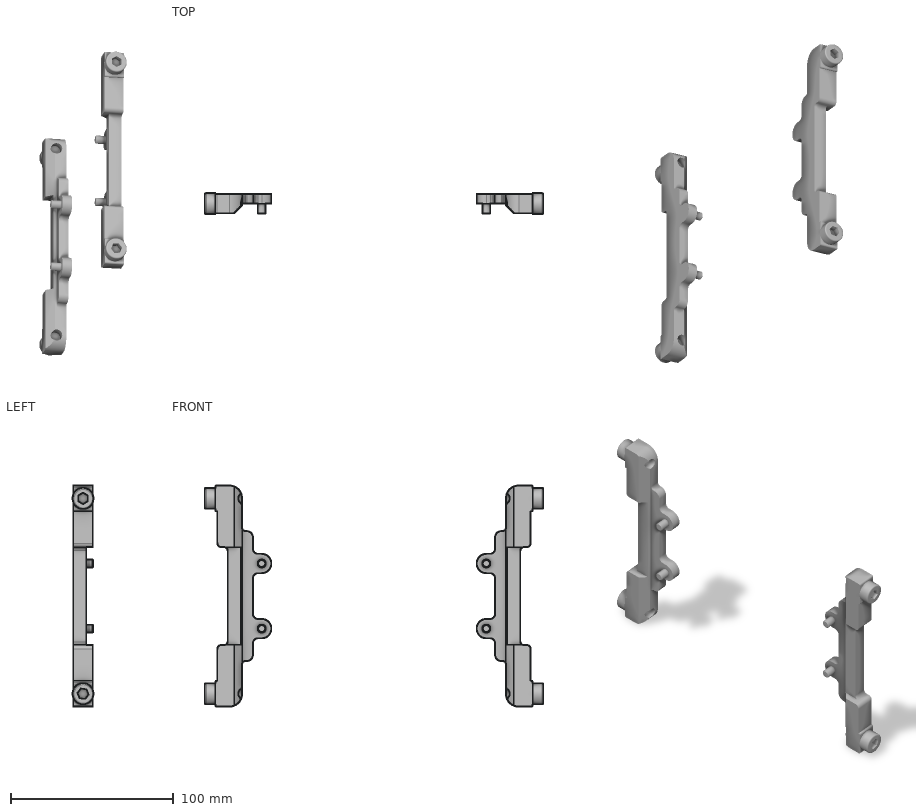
import cadquery as cq
import math

overall_width = 208.0
bracket_height = 136.0
bracket_depth = 12.0
back_y = bracket_depth / 2
front_y = -bracket_depth / 2

head_diameter = 13.0
head_height = 6.5
head_edge_radius = 0.8
socket_across_flats = 6.0
socket_sides = 6
socket_depth = 5.0
screw_diameter = 6.8
screw_length = 10.0
screw_z = 60.0
socket_turn_upper = 30.0
socket_turn_lower = 8.0

pad_face_x = overall_width / 2 - head_height
pad_step = 1.2
pad_height = 2 * (bracket_height / 2 - screw_z)
pad_corner_radius = 1.0
block_face_x = pad_face_x - pad_step
inner_face_x = 81.0
top_corner_radius = 8.0
inner_chamfer = 5.0

bar_face_x = 90.0
bar_height = 60.0
bar_depth = 8.0
block_corner_radius = 2.5
bar_fillet_radius = 2.0

flange_edge_x = 74.3
flange_height = 80.0
flange_depth = 6.0
flange_corner_radius = 4.0
flange_root_radius = 2.0
ear_radius = 6.0
ear_x = 69.0
ear_z = 20.0
ear_root_radius = 3.0

pin_diameter = 5.0
pin_length = 12.2
pin_tip_chamfer = 0.4


def upright_block(x_min, x_max, z_min, z_max, depth):
    """Rectangular block reaching forward from the back plane."""
    return (
        cq.Workplane("XY")
        .box(x_max - x_min, depth, z_max - z_min, centered=False)
        .translate((x_min, back_y - depth, z_min))
    )


def fillet_upright_corners(body, x, z_places, radius):
    """Round the edges along Y that pass through (x, +z) and (x, -z) for each given z."""
    reach = 0.05
    for z in z_places:
        for end in (z, -z):
            corner = cq.selectors.BoxSelector(
                (x - reach, back_y - 2 * bracket_depth, end - reach),
                (x + reach, back_y + bracket_depth, end + reach),
            )
            body = body.edges("|Y").edges(corner).fillet(radius)
    return body


def make_rail():
    """Deep rail with screw pads, rounded inner ends, front chamfer and a recessed middle."""
    half_height = bracket_height / 2
    half_bar = bar_height / 2
    rail = upright_block(inner_face_x, block_face_x, -half_height, half_height, bracket_depth)
    for side in (1, -1):
        pad_z = side * screw_z
        pad = upright_block(
            inner_face_x, pad_face_x, pad_z - pad_height / 2, pad_z + pad_height / 2, bracket_depth
        )
        rail = rail.union(pad)
    rail = rail.cut(upright_block(bar_face_x, pad_face_x, -half_bar, half_bar, bracket_depth))

    rail = fillet_upright_corners(rail, inner_face_x, [half_height], top_corner_radius)
    rail = fillet_upright_corners(
        rail, pad_face_x, [half_height, half_height - pad_height], pad_corner_radius
    )
    rail = fillet_upright_corners(rail, block_face_x, [half_bar], block_corner_radius)
    rail = fillet_upright_corners(rail, bar_face_x, [half_bar], bar_fillet_radius)

    chamfer_wedge = (
        cq.Workplane("XY", origin=(0, 0, -half_height))
        .moveTo(inner_face_x, front_y)
        .lineTo(inner_face_x + inner_chamfer, front_y)
        .lineTo(inner_face_x, front_y + inner_chamfer)
        .close()
        .extrude(bracket_height)
    )
    front_recess = upright_block(
        inner_face_x, pad_face_x, -half_bar, half_bar, bracket_depth
    ).translate((0, -bar_depth, 0))
    return rail.cut(chamfer_wedge).cut(front_recess)


def make_flange():
    """Thin plate along the inner side of the rail, with two ears and blended corners."""
    half_flange = flange_height / 2
    flange = upright_block(flange_edge_x, inner_face_x, -half_flange, half_flange, flange_depth)
    flange = fillet_upright_corners(flange, flange_edge_x, [half_flange], flange_corner_radius)
    for z in (ear_z, -ear_z):
        ear_tip = (
            cq.Workplane("XZ", origin=(ear_x, back_y, z)).circle(ear_radius).extrude(flange_depth)
        )
        ear_neck = upright_block(
            ear_x, inner_face_x, z - ear_radius, z + ear_radius, flange_depth
        )
        flange = flange.union(ear_neck).union(ear_tip)
    return fillet_upright_corners(
        flange, flange_edge_x, [ear_z + ear_radius, ear_z - ear_radius], ear_root_radius
    )


def make_bracket():
    """Rail and flange in one piece, drilled for the cap screws and the pins."""
    bracket = make_rail().union(make_flange())
    bracket = fillet_upright_corners(
        bracket, inner_face_x, [flange_height / 2], flange_root_radius
    )
    for side in (1, -1):
        screw_hole = (
            cq.Workplane("YZ", origin=(inner_face_x, 0, side * screw_z))
            .circle(screw_diameter / 2)
            .extrude(pad_face_x - inner_face_x)
        )
        pin_hole = (
            cq.Workplane("XZ", origin=(ear_x, back_y, side * ear_z))
            .circle(pin_diameter / 2)
            .extrude(flange_depth)
        )
        bracket = bracket.cut(screw_hole).cut(pin_hole)
    return bracket


def make_cap_screw(z, socket_turn):
    """Socket-head screw seated on a pad, with its shank inside the bracket."""
    head = (
        cq.Workplane("YZ", origin=(pad_face_x, 0, z))
        .circle(head_diameter / 2)
        .extrude(head_height)
        .faces(">X")
        .edges()
        .fillet(head_edge_radius)
    )
    shank = (
        cq.Workplane("YZ", origin=(pad_face_x, 0, z))
        .circle(screw_diameter / 2)
        .extrude(-screw_length)
    )
    socket = (
        cq.Workplane("YZ", origin=(pad_face_x + head_height, 0, z))
        .transformed(rotate=(0, 0, socket_turn))
        .polygon(socket_sides, socket_across_flats / math.cos(math.pi / socket_sides))
        .extrude(-socket_depth)
    )
    return head.union(shank).cut(socket)


def make_pin(z):
    """Plain pin flush with the back of its ear, with a chamfered front tip."""
    return (
        cq.Workplane("XZ", origin=(ear_x, back_y, z))
        .circle(pin_diameter / 2)
        .extrude(pin_length)
        .faces("<Y")
        .chamfer(pin_tip_chamfer)
    )


bracket = make_bracket()
cap_screws = [
    make_cap_screw(screw_z, socket_turn_upper),
    make_cap_screw(-screw_z, socket_turn_lower),
]
pins = [make_pin(ear_z), make_pin(-ear_z)]

right_side = [body.val() for body in [bracket, *cap_screws, *pins]]
left_side = [solid.mirror("YZ") for solid in right_side]
result = cq.Compound.makeCompound(right_side + left_side)